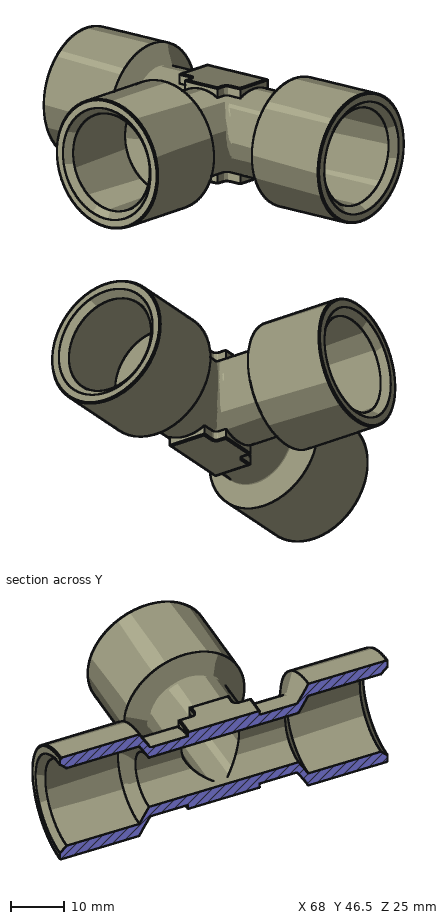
import cadquery as cq
import math

ARM_LENGTH = 34.0
COLLAR_RADIUS = 12.5
COLLAR_LENGTH = 16.45
NECK_RADIUS = 8.5
SHOULDER_ANGLE = 60.0
FOOT_RADIUS = 0.4
VALLEY_RADIUS = 0.8
RIM_CHAMFER = 0.2

SOCKET_RADIUS = 9.45
SOCKET_LENGTH = COLLAR_LENGTH
MOUTH_RADIUS = 10.8
PASSAGE_RADIUS = 6.0

PAD_HALF_HEIGHT = 9.45
PAD_HALF_WIDTH = 7.5
PAD_BACK = 4.0
PAD_STEP = PAD_BACK
PAD_FRONT = 6.5
PAD_CHAMFER = 0.2

SELECTION_MARGIN = 0.1

shoulder_slope = math.tan(math.radians(SHOULDER_ANGLE))


def revolve_arm(outline, direction_angle):
    """Revolve an outline of (distance along arm, radius) and swing it about Z."""
    arm = cq.Workplane("XY").polyline(outline).close().revolve(360, (0, 0, 0), (1, 0, 0))
    return arm.rotate((0, 0, 0), (0, 0, 1), direction_angle)


def arm_body(direction_angle):
    collar_start = ARM_LENGTH - COLLAR_LENGTH
    shoulder_foot = collar_start - (COLLAR_RADIUS - NECK_RADIUS) / shoulder_slope
    body = revolve_arm(
        [
            (0, 0),
            (0, NECK_RADIUS),
            (shoulder_foot, NECK_RADIUS),
            (collar_start, COLLAR_RADIUS),
            (ARM_LENGTH - RIM_CHAMFER, COLLAR_RADIUS),
            (ARM_LENGTH, COLLAR_RADIUS - RIM_CHAMFER),
            (ARM_LENGTH, 0),
        ],
        0,
    )
    foot_edge = cq.selectors.BoxSelector(
        (shoulder_foot - SELECTION_MARGIN, -COLLAR_RADIUS, -COLLAR_RADIUS),
        (shoulder_foot + SELECTION_MARGIN, COLLAR_RADIUS, COLLAR_RADIUS),
    )
    body = body.edges(foot_edge).fillet(FOOT_RADIUS)
    return body.rotate((0, 0, 0), (0, 0, 1), direction_angle)


def arm_bore(direction_angle):
    socket_floor = ARM_LENGTH - SOCKET_LENGTH
    passage_end = socket_floor - (SOCKET_RADIUS - PASSAGE_RADIUS) / shoulder_slope
    mouth_depth = MOUTH_RADIUS - SOCKET_RADIUS
    return revolve_arm(
        [
            (0, 0),
            (0, PASSAGE_RADIUS),
            (passage_end, PASSAGE_RADIUS),
            (socket_floor, SOCKET_RADIUS),
            (ARM_LENGTH - mouth_depth, SOCKET_RADIUS),
            (ARM_LENGTH, MOUTH_RADIUS),
            (ARM_LENGTH, 0),
        ],
        direction_angle,
    )


def pads():
    outline = [
        (-PAD_HALF_WIDTH, PAD_BACK),
        (PAD_HALF_WIDTH, PAD_BACK),
        (PAD_HALF_WIDTH, -PAD_STEP),
        (PAD_STEP, -PAD_STEP),
        (PAD_STEP, -PAD_FRONT),
        (-PAD_STEP, -PAD_FRONT),
        (-PAD_STEP, -PAD_STEP),
        (-PAD_HALF_WIDTH, -PAD_STEP),
    ]
    return cq.Workplane("XY").polyline(outline).close().extrude(PAD_HALF_HEIGHT, both=True)


def is_in_valley(edge):
    """True where the branch meets the run: between the necks and at the inner pad corners."""
    center = edge.Center()
    on_diagonal = abs(abs(center.x) + center.y) < SELECTION_MARGIN
    return on_diagonal and center.y < -PAD_STEP + SELECTION_MARGIN


def is_pad_flat(face):
    height = abs(face.Center().z)
    return face.geomType() == "PLANE" and abs(height - PAD_HALF_HEIGHT) < SELECTION_MARGIN


ARM_DIRECTIONS = (0, 180, 270)

result = pads()
for direction in ARM_DIRECTIONS:
    result = result.union(arm_body(direction))
result = result.edges().filter(is_in_valley).fillet(VALLEY_RADIUS)
result = result.faces().filter(is_pad_flat).edges().chamfer(PAD_CHAMFER)
for direction in ARM_DIRECTIONS:
    result = result.cut(arm_bore(direction))